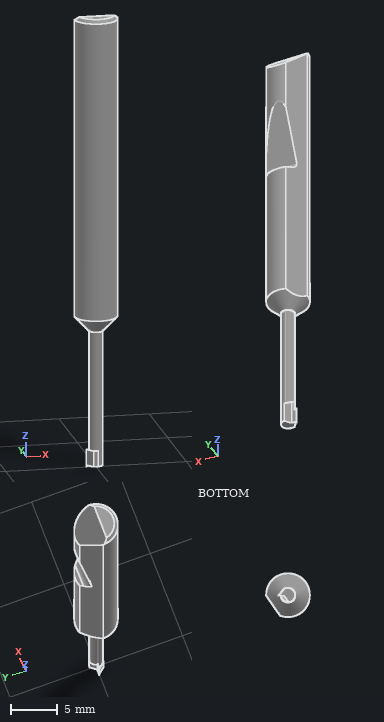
import cadquery as cq

length = 50.8
shank_radius = 2.4
shank_bottom = 16.95
neck_radius = 0.75
neck_top = 15.3
cone_end_radius = 0.8
body_bottom = 0.15
end_chamfer = 0.4

edge_y = 0.05
flat_start = (-shank_radius, edge_y)
flat_end = (-0.85, 2.25)

bevel_edge_y = -0.5

notch_top = 43.0
notch_bottom = 33.9
notch_lip_z = 33.7
notch_floor_y = 1.1
notch_corner_radius = 0.75

relief_mid = (-0.5, 0.5)

head_top = 1.95
tip_x = -1.05
heel = (-0.4, -neck_radius)
heel_end_x = 0.1

gullet_top = 3.0
gullet_side_top = 2.55
gullet_root_x = -0.45
gullet_exit_x = 0.1

cut_margin = 2.55


def body():
    """Turned shank, cone and neck."""
    return (
        cq.Workplane("XZ")
        .moveTo(0, body_bottom)
        .lineTo(neck_radius, body_bottom)
        .lineTo(neck_radius, neck_top)
        .lineTo(cone_end_radius, neck_top)
        .lineTo(shank_radius, shank_bottom)
        .lineTo(shank_radius, length - end_chamfer)
        .lineTo(shank_radius - end_chamfer, length)
        .lineTo(0, length)
        .close()
        .revolve(360, (0, 0, 0), (0, 1, 0))
    )


def side_cut(profile):
    """Extend a YZ profile through the full width of the shank."""
    return profile.extrude(shank_radius + cut_margin, both=True)


def shank_flat():
    run_x = flat_end[0] - flat_start[0]
    run_y = flat_end[1] - flat_start[1]
    return (
        cq.Workplane("XY", origin=(0, 0, neck_top))
        .moveTo(*flat_start)
        .lineTo(flat_start[0] + 2 * run_x, flat_start[1] + 2 * run_y)
        .lineTo(flat_start[0], flat_start[1] + 2 * run_y)
        .close()
        .extrude(length - neck_top)
    )


def end_bevel():
    reach = shank_radius + cut_margin
    drop = reach - bevel_edge_y
    return side_cut(
        cq.Workplane("YZ")
        .moveTo(bevel_edge_y, length)
        .lineTo(reach, length - drop)
        .lineTo(reach, length)
        .close()
    )


def clamping_notch():
    reach = shank_radius + cut_margin
    corner_z = notch_bottom + notch_corner_radius
    return side_cut(
        cq.Workplane("YZ")
        .moveTo(shank_radius, notch_top)
        .lineTo(notch_floor_y, corner_z)
        .radiusArc((notch_floor_y + notch_corner_radius, notch_bottom), -notch_corner_radius)
        .lineTo(shank_radius, notch_lip_z)
        .lineTo(reach, notch_lip_z)
        .lineTo(reach, notch_top)
        .close()
    )


def neck_relief():
    return (
        cq.Workplane("XY")
        .moveTo(-neck_radius, edge_y)
        .threePointArc(relief_mid, (-edge_y, neck_radius))
        .lineTo(-edge_y, neck_radius + cut_margin)
        .lineTo(-neck_radius - cut_margin, neck_radius + cut_margin)
        .lineTo(-neck_radius - cut_margin, edge_y)
        .close()
        .extrude(neck_top)
    )


def cutting_head():
    """Head with an angled flank, its lower face rising from the tip."""
    blank = (
        cq.Workplane("XY")
        .moveTo(tip_x, edge_y)
        .lineTo(*heel)
        .lineTo(heel_end_x, -neck_radius)
        .lineTo(heel_end_x, edge_y)
        .close()
        .extrude(head_top)
    )
    clearance = (
        cq.Workplane("XZ")
        .moveTo(tip_x, 0)
        .lineTo(tip_x + body_bottom, body_bottom)
        .lineTo(neck_radius, body_bottom)
        .lineTo(neck_radius, 0)
        .close()
        .extrude(neck_radius + cut_margin, both=True)
    )
    return blank.cut(clearance)


def chip_gullet():
    wedge = (
        cq.Workplane("XY")
        .moveTo(gullet_root_x, edge_y)
        .lineTo(gullet_exit_x, neck_radius)
        .lineTo(tip_x, neck_radius)
        .lineTo(tip_x, edge_y)
        .close()
        .extrude(gullet_top)
    )
    sloped_roof = side_cut(
        cq.Workplane("YZ")
        .moveTo(edge_y, gullet_top)
        .lineTo(neck_radius, gullet_side_top)
        .lineTo(neck_radius, gullet_top)
        .close()
    )
    return wedge.cut(sloped_roof)


result = (
    body()
    .cut(shank_flat())
    .cut(end_bevel())
    .cut(clamping_notch())
    .cut(neck_relief())
    .union(cutting_head())
    .cut(chip_gullet())
)